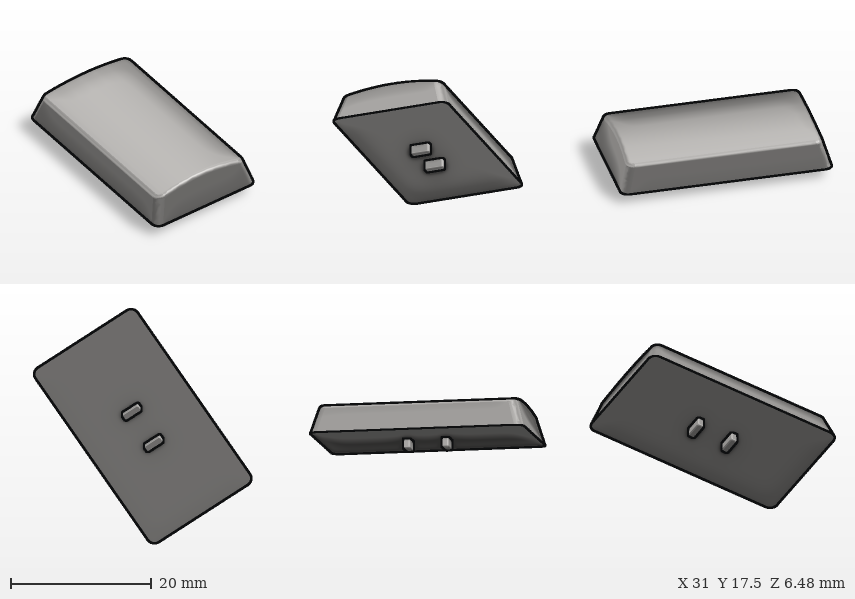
import cadquery as cq
import math

length = 31.0
width = 17.5
cap_height = 5.0
draft_angle = 16.0
corner_radius = 1.25
dome_radius = 29.45
rim_radius = 0.7

total_height = 6.48
pin_height = total_height - cap_height
pin_thickness = 1.12
pin_width = 2.9
pin_spacing = 5.58
pin_corner_radius = 0.3
pin_tip_radius = 0.25


def drafted_block():
    """Rectangular block with sloping walls and rounded upright corners."""
    inset = cap_height * math.tan(math.radians(draft_angle))
    block = (
        cq.Workplane("XY")
        .rect(length, width)
        .workplane(offset=cap_height)
        .rect(length - 2 * inset, width - 2 * inset)
        .loft(ruled=True)
    )
    sloping_edges = block.edges("not(#Z)")
    return sloping_edges.fillet(corner_radius)


def dome_cylinder():
    """Long cylinder along X whose crest touches the top of the cap."""
    return (
        cq.Workplane("YZ")
        .center(0, cap_height - dome_radius)
        .circle(dome_radius)
        .extrude(length / 2, both=True)
    )


def cap():
    """Drafted block with a domed top and a rounded rim."""
    domed = drafted_block().intersect(dome_cylinder())
    return domed.faces(">Z").edges().fillet(rim_radius)


def pin(x):
    """Rounded rectangular pin with a rounded tip, hanging below the cap."""
    return (
        cq.Workplane("XY")
        .center(x, 0)
        .rect(pin_thickness, pin_width)
        .extrude(-pin_height)
        .edges("|Z")
        .fillet(pin_corner_radius)
        .faces("<Z")
        .edges()
        .fillet(pin_tip_radius)
    )


result = cap()
for side in (-1, 1):
    result = result.union(pin(side * pin_spacing / 2))